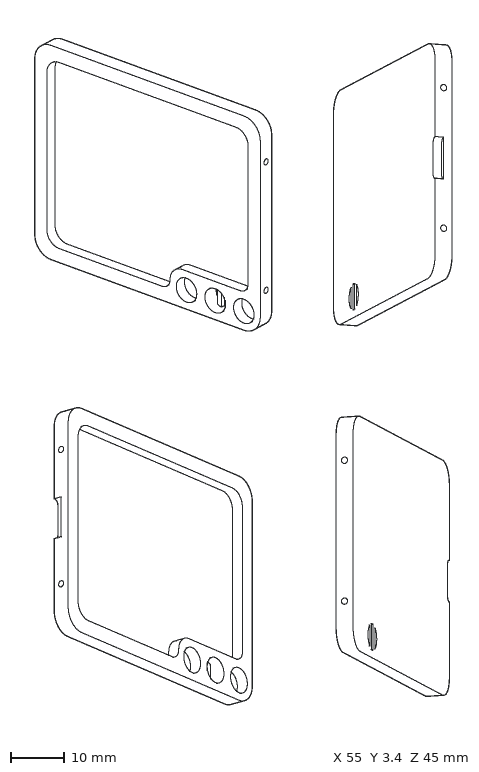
import cadquery as cq


width = 55.0
thickness = 3.4
height = 45.0
corner_radius = 4.0

rim = 2.95
pocket_depth = 2.4
pocket_radius = 3.0
step_radius = 2.0

hole_diameter = 5.0
hole_pitch = 7.0
hole_margin = 4.0
hole_floor = 1.0

bar_width = 1.0
bar_gap = 1.0
bar_depth = hole_floor

notch_height = 8.0
notch_reach = 1.1
notch_depth = thickness / 2
notch_radius = 1.0

pin_diameter = 1.2
pin_length = 2.0
pin_spacing = 26.95

right = width / 2
left = -right
top = height / 2
bottom = -top
last_hole_x = right - hole_margin
hole_z = bottom + hole_margin
middle_hole_x = last_hole_x - hole_pitch
first_hole_x = middle_hole_x - hole_pitch
shelf_x = first_hole_x - hole_margin
shelf_z = hole_z + hole_margin


def front_plane(y):
    """Sketch plane at depth y, with local x along X, local y along Z and extrusion toward +Y."""
    return cq.Workplane(cq.Plane(origin=(0, y, 0), xDir=(1, 0, 0), normal=(0, -1, 0)))


def plate():
    return front_plane(0).rect(width, height).extrude(-thickness).edges("|Y").fillet(corner_radius)


def pocket():
    pocket_left = left + rim
    pocket_right = right - rim
    pocket_top = top - rim
    pocket_bottom = bottom + rim
    outline = [
        (pocket_left, pocket_bottom),
        (shelf_x, pocket_bottom),
        (shelf_x, shelf_z),
        (pocket_right, shelf_z),
        (pocket_right, pocket_top),
        (pocket_left, pocket_top),
    ]
    cut = front_plane(0).polyline(outline).close().extrude(-pocket_depth)
    for x, z in [(shelf_x, pocket_bottom), (pocket_right, shelf_z)]:
        cut = cut.edges(cq.NearestToPointSelector((x, pocket_depth / 2, z))).fillet(step_radius)
    for x, z in [
        (shelf_x, shelf_z),
        (pocket_left, pocket_bottom),
        (pocket_left, pocket_top),
        (pocket_right, pocket_top),
    ]:
        cut = cut.edges(cq.NearestToPointSelector((x, pocket_depth / 2, z))).fillet(pocket_radius)
    return cut


def round_hole(x, depth):
    return front_plane(0).center(x, hole_z).circle(hole_diameter / 2).extrude(-depth)


def hole_bars():
    """Bars at the back of the middle hole, trimmed to the round hole wall."""
    offset = (bar_gap + bar_width) / 2
    bars = (
        front_plane(thickness - bar_depth)
        .center(middle_hole_x, hole_z)
        .pushPoints([(-offset, 0), (offset, 0)])
        .rect(bar_width, hole_diameter)
        .extrude(-bar_depth)
    )
    return bars.intersect(round_hole(middle_hole_x, thickness))


def edge_notch():
    """Notch with rounded inner corners, open to the left edge and to the back face."""
    notch = front_plane(thickness - notch_depth).center(left, 0)
    notch = notch.rect(2 * notch_reach, notch_height).extrude(-notch_depth)
    return notch.edges("|Y and >X").fillet(notch_radius)


def edge_pin(side, z):
    """Pin whose outer end is flush with the left (side = -1) or right (side = 1) edge."""
    plane = cq.Plane(origin=(side * right, thickness / 2, z), normal=(-side, 0, 0))
    return cq.Workplane(plane).circle(pin_diameter / 2).extrude(pin_length)


pins = [edge_pin(side, z) for side in (-1, 1) for z in (-pin_spacing / 2, pin_spacing / 2)]

housing = plate().cut(pocket())
for blind_hole_x in (first_hole_x, last_hole_x):
    housing = housing.cut(round_hole(blind_hole_x, thickness - hole_floor))
housing = housing.cut(round_hole(middle_hole_x, thickness).cut(hole_bars()))
housing = housing.cut(edge_notch())
for pin in pins:
    housing = housing.cut(pin)

result = cq.Compound.makeCompound([housing.val(), *[pin.val() for pin in pins]])